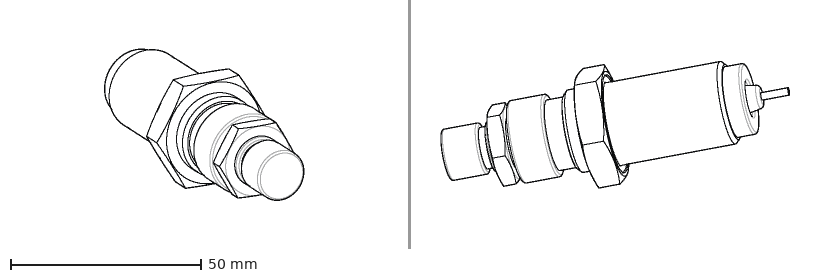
import cadquery as cq
import math


BODY_R = 11.1
NECK_R = 9.5
FACE_X = 10.5
BARREL_X0 = 15.5
BARREL_X1 = 59.1
COLLAR_X0 = 64.0
HOUSING_END_X = 74.0
BARREL_CHAMFER = 1.0
EDGE_ROUND = 0.6
BORE_R = 4.65
STEP_X = BARREL_X1

PIN_R = 1.0
INSULATOR_X = 7.35
INSULATOR_FACE_R = 2.1
INSULATOR_ROUND = 1.0
INSULATOR_TAPER = 10.0
THREAD_R = 6.9
GROOVE_R = 5.6
GROOVE_X0 = 81.0
GROOVE_X1 = 83.0
TOTAL_LENGTH = 93.0

NUT_X0 = 47.2
NUT_X1 = 54.7
NUT_CORNERS = 33.0
NUT_FACE_R = 14.0
NUT_CHAMFER = 0.8
NUT_TURN = 1.2
SEAL_TUBE_R = 1.0
SEAL_R = BODY_R + SEAL_TUBE_R
SEAL_SEAT_R = SEAL_R + SEAL_TUBE_R
SEAL_SEAT_DEPTH = 2 * SEAL_TUBE_R

LOCK_X0 = 75.2
LOCK_X1 = 79.6
LOCK_CORNERS = 22.3
LOCK_FACE_R = 9.6
LOCK_CHAMFER = 0.5
LOCK_TURN = -0.5


def cylinder(radius, x0, x1):
    return cq.Workplane("YZ", origin=(x0, 0, 0)).circle(radius).extrude(x1 - x0)


def revolve_about_x(profile):
    return profile.close().revolve(360, (0, 0, 0), (1, 0, 0))


def make_core():
    taper = math.radians(INSULATOR_TAPER)
    round_x = INSULATOR_X + INSULATOR_ROUND
    round_mid = (math.pi / 2 - taper) / 2
    flank_x = round_x - INSULATOR_ROUND * math.sin(taper)
    flank_r = INSULATOR_FACE_R + INSULATOR_ROUND * math.cos(taper)
    flank_end_x = flank_x + (BORE_R - flank_r) / math.tan(taper)

    front = revolve_about_x(
        cq.Workplane("XY")
        .moveTo(0, 0)
        .lineTo(0, PIN_R)
        .lineTo(INSULATOR_X, PIN_R)
        .lineTo(INSULATOR_X, INSULATOR_FACE_R)
        .threePointArc(
            (
                round_x - INSULATOR_ROUND * math.cos(round_mid),
                INSULATOR_FACE_R + INSULATOR_ROUND * math.sin(round_mid),
            ),
            (flank_x, flank_r),
        )
        .lineTo(flank_end_x, BORE_R)
        .lineTo(STEP_X, BORE_R)
        .lineTo(STEP_X, 0)
    )
    thread = cylinder(THREAD_R, STEP_X, GROOVE_X0).faces(">X").fillet(EDGE_ROUND)
    groove = cylinder(GROOVE_R, GROOVE_X0, GROOVE_X1)
    tail = cylinder(THREAD_R, GROOVE_X1, TOTAL_LENGTH).faces("<X or >X").fillet(EDGE_ROUND)
    return front.union(thread).union(groove).union(tail)


def make_housing():
    spigot = cylinder(NECK_R, FACE_X, BARREL_X0)
    barrel = cylinder(BODY_R, BARREL_X0, BARREL_X1).faces("<X or >X").chamfer(BARREL_CHAMFER)
    neck = cylinder(NECK_R, BARREL_X1, COLLAR_X0)
    collar = cylinder(BODY_R, COLLAR_X0, HOUSING_END_X).faces("<X or >X").fillet(EDGE_ROUND)
    blank = spigot.union(barrel).union(neck).union(collar)

    front_bore = cylinder(BORE_R, FACE_X, STEP_X)
    rear_bore = cylinder(THREAD_R, STEP_X, HOUSING_END_X)
    return blank.cut(front_bore).cut(rear_bore).faces("<X").edges().fillet(EDGE_ROUND)


def make_hex_nut(corners, x0, x1, bore_r, face_r, chamfer, turn):
    """Hexagon nut with a corner on the Y axis before the turn, chamfered on both faces."""
    hexagon = cq.Workplane("YZ", origin=(x0, 0, 0)).polygon(6, corners).extrude(x1 - x0)
    hexagon = hexagon.rotate((0, 0, 0), (1, 0, 0), turn)

    corner_r = corners / 2
    envelope = revolve_about_x(
        cq.Workplane("XY")
        .moveTo(x0, 0)
        .lineTo(x0, face_r)
        .lineTo(x0 + chamfer, corner_r)
        .lineTo(x1 - chamfer, corner_r)
        .lineTo(x1, face_r)
        .lineTo(x1, 0)
    )
    return hexagon.intersect(envelope).cut(cylinder(bore_r, x0, x1))


def make_mounting_nut():
    nut = make_hex_nut(
        NUT_CORNERS, NUT_X0, NUT_X1, BODY_R, NUT_FACE_R, NUT_CHAMFER, NUT_TURN
    )
    return nut.cut(cylinder(SEAL_SEAT_R, NUT_X0, NUT_X0 + SEAL_SEAT_DEPTH))


def make_lock_nut():
    return make_hex_nut(
        LOCK_CORNERS, LOCK_X0, LOCK_X1, THREAD_R, LOCK_FACE_R, LOCK_CHAMFER, LOCK_TURN
    )


def make_seal_ring():
    section = cq.Workplane("XY").center(NUT_X0 + SEAL_TUBE_R, SEAL_R).circle(SEAL_TUBE_R)
    return section.revolve(360, (0, -SEAL_R, 0), (1, -SEAL_R, 0))


core = make_core()
housing = make_housing()
mounting_nut = make_mounting_nut()
seal_ring = make_seal_ring()
lock_nut = make_lock_nut()

result = cq.Compound.makeCompound([
    core.val(),
    housing.val(),
    mounting_nut.val(),
    seal_ring.val(),
    lock_nut.val(),
])